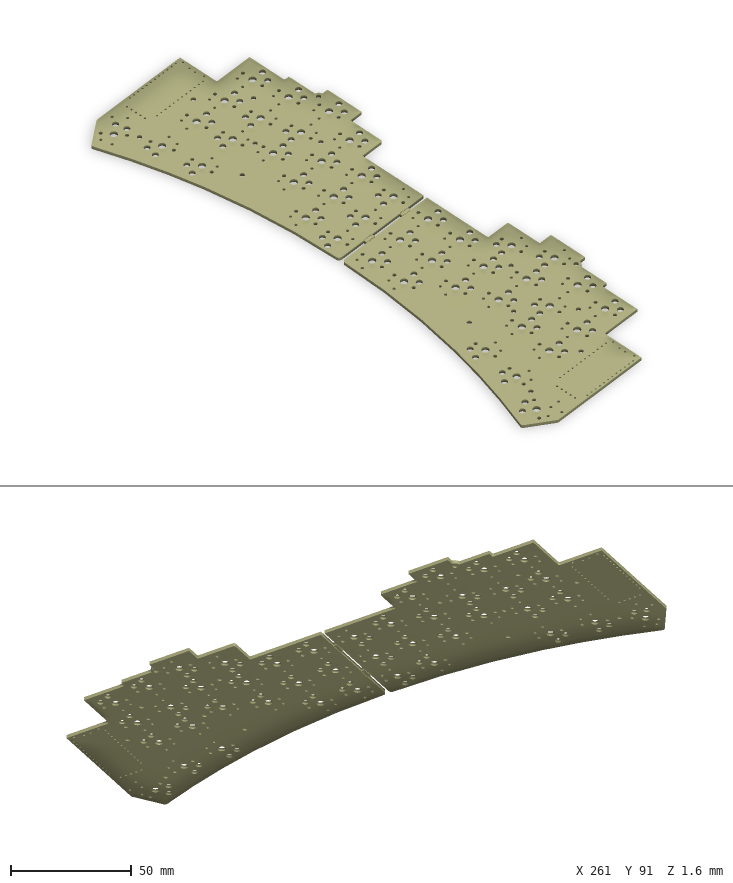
import cadquery as cq
import math

LEFT, RIGHT = -1, 1
HALF_TURN = 180

board_length = 261.0
thickness = 1.6
side_edge_x = board_length / 2
gap_half_width = 0.91

key_margin = 9.0
row_pitch = 17.0
outer_column_x = 99.7
inner_column_x = gap_half_width + key_margin
middle_row_y = [0.8, 0.8, 12.8, 19.5, 14.4, 11.7]
column_count = len(middle_row_y)
column_pitch = (outer_column_x - inner_column_x) / (column_count - 1)
column_x = [inner_column_x + i * column_pitch for i in range(column_count)]
column_rear_y = [y + row_pitch + key_margin for y in middle_row_y]
REAR, MIDDLE, FRONT = 1, 0, -1

turned_keys = {
    LEFT: {(0, REAR), (0, MIDDLE), (0, FRONT), (3, MIDDLE), (4, MIDDLE), (4, FRONT)},
    RIGHT: {(2, REAR), (3, REAR), (4, MIDDLE)},
}

thumb_keys = [(80.2, -23.0, 0), (100.3, -25.5, 15), (119.5, -34.2, 36)]
turned_thumb_keys = {LEFT: {0, 1}, RIGHT: {0, 1, 2}}

step_x = [35.5, 53.5, 72.8, 89.8, 109.7]
side_rear_y = 17.8
side_front_y = -33.0
tip_x, tip_y = 121.7, -45.7
tip_radius = 1.17
bend_x, bend_y = 71.0, -31.5
gap_front_y = -24.8
gap_corner_radius = 1.5
step_radius = 0.8
ear_radius = 2.2

stem_diameter = 3.5
peg_diameter = 1.7
socket_diameter = 3.0
pin_diameter = 1.3
peg_offset = 5.5
contact_offset = 6.0
side_contact_x, side_contact_y = 5.0, 4.0
switch_holes = [
    (stem_diameter, [(0, 0)]),
    (peg_diameter, [(-peg_offset, 0), (peg_offset, 0)]),
    (socket_diameter, [(0, contact_offset), (side_contact_x, side_contact_y)]),
    (pin_diameter, [(0, -contact_offset), (-side_contact_x, -side_contact_y)]),
]

screw_diameter = 2.2
rear_screw = (72.8, 40.0)
screw_places = [
    rear_screw,
    (53.8, 21.0),
    (92.0, 21.0),
    (73.0, 1.7),
    (109.7, 3.5),
    (64.2, -15.7),
    (110.7, -28.2),
]

controller_x = 121.7
header_pitch = 2.53
header_diameter = 0.8
header_pin_count = 12
header_row_gap = 15.5
front_row_diameter = 1.0
front_row_pin_count = 5
front_row_y = -18.5
pad_diameter = 0.9
inner_pad_offset, inner_pad_y = 1.5, 15.7
outer_pad_offset, outer_pad_y = 6.0, 16.5

reset_diameter = 1.28
reset_places = [(-122.0, -23.2), (-127.2, -27.2), (123.2, -24.8), (128.5, -28.5)]

tab_length = 5.0
tab_y = [14.4, -7.3]
bite_diameter = 0.5
bite_pitch = 0.8
bite_count = 6


def centred_row(count, pitch):
    """Evenly spaced offsets that are centred on zero."""
    return [(i - (count - 1) / 2) * pitch for i in range(count)]


def mirrored(places):
    """The places on the right half and their mirror images on the left."""
    return [(side * x, y) for side in (LEFT, RIGHT) for x, y in places]


def turn_and_move(point, centre, angle):
    """Turn a point about the origin, then move it by the centre."""
    cosine = math.cos(math.radians(angle))
    sine = math.sin(math.radians(angle))
    x, y = point
    return (centre[0] + x * cosine - y * sine, centre[1] + x * sine + y * cosine)


def right_half():
    levels = column_rear_y[1:] + [side_rear_y]
    outline = (
        cq.Workplane("XY")
        .moveTo(gap_half_width, levels[0])
        .lineTo(gap_half_width, gap_front_y + gap_corner_radius)
        .radiusArc((gap_half_width + gap_corner_radius, gap_front_y), -gap_corner_radius)
        .tangentArcPoint((bend_x, bend_y), relative=False)
        .tangentArcPoint((tip_x, tip_y), relative=False)
        .lineTo(side_edge_x, side_front_y)
        .lineTo(side_edge_x, side_rear_y)
    )
    for i in reversed(range(len(step_x))):
        outline = outline.lineTo(step_x[i], levels[i + 1]).lineTo(step_x[i], levels[i])
    plate = outline.close().extrude(thickness)

    plate = plate.edges("|Z").edges("<Y").fillet(tip_radius)
    rounded_steps = [(step_x[0], levels[1]), (step_x[3], levels[4]), (step_x[4], levels[5])]
    for x, y in rounded_steps:
        corner = cq.selectors.NearestToPointSelector((x, y, thickness / 2))
        plate = plate.edges("|Z").edges(corner).fillet(step_radius)
    ear = cq.Workplane("XY").center(*rear_screw).circle(ear_radius).extrude(thickness)
    return plate.union(ear)


def tabs():
    places = [(0, y) for y in tab_y]
    return cq.Workplane("XY").pushPoints(places).rect(2 * gap_half_width, tab_length).extrude(thickness)


def key_placements():
    """Centre and turning angle of every key on both halves."""
    placements = []
    for side in (LEFT, RIGHT):
        for column, x in enumerate(column_x):
            for row in (REAR, MIDDLE, FRONT):
                angle = HALF_TURN if (column, row) in turned_keys[side] else 0
                placements.append(((side * x, middle_row_y[column] + row * row_pitch), angle))
        for index, (x, y, tilt) in enumerate(thumb_keys):
            angle = HALF_TURN if index in turned_thumb_keys[side] else 0
            placements.append(((side * x, y), angle - side * tilt))
    return placements


def switch_hole_places(points):
    """The same switch hole or holes at every key."""
    return [turn_and_move(p, centre, angle) for centre, angle in key_placements() for p in points]


def header_places():
    rows = centred_row(2, header_row_gap)
    pins = centred_row(header_pin_count, header_pitch)
    return mirrored([(controller_x + dx, y) for dx in rows for y in pins])


def front_row_places():
    pins = centred_row(front_row_pin_count, header_pitch)
    return mirrored([(controller_x + dx, front_row_y) for dx in pins])


def pad_places():
    pads = [(inner_pad_offset, inner_pad_y), (outer_pad_offset, outer_pad_y)]
    return mirrored([(controller_x + end * dx, y) for end in (-1, 1) for dx, y in pads])


def bite_places():
    bites = centred_row(bite_count, bite_pitch)
    return mirrored([(gap_half_width, y + dy) for y in tab_y for dy in bites])


hole_groups = [(diameter, switch_hole_places(points)) for diameter, points in switch_holes]
hole_groups += [
    (screw_diameter, mirrored(screw_places)),
    (header_diameter, header_places()),
    (front_row_diameter, front_row_places()),
    (pad_diameter, pad_places()),
    (reset_diameter, reset_places),
    (bite_diameter, bite_places()),
]

half = right_half()
result = half.union(half.mirror("YZ")).union(tabs())
for diameter, places in hole_groups:
    drills = cq.Workplane("XY").pushPoints(places).circle(diameter / 2).extrude(thickness)
    result = result.cut(drills)